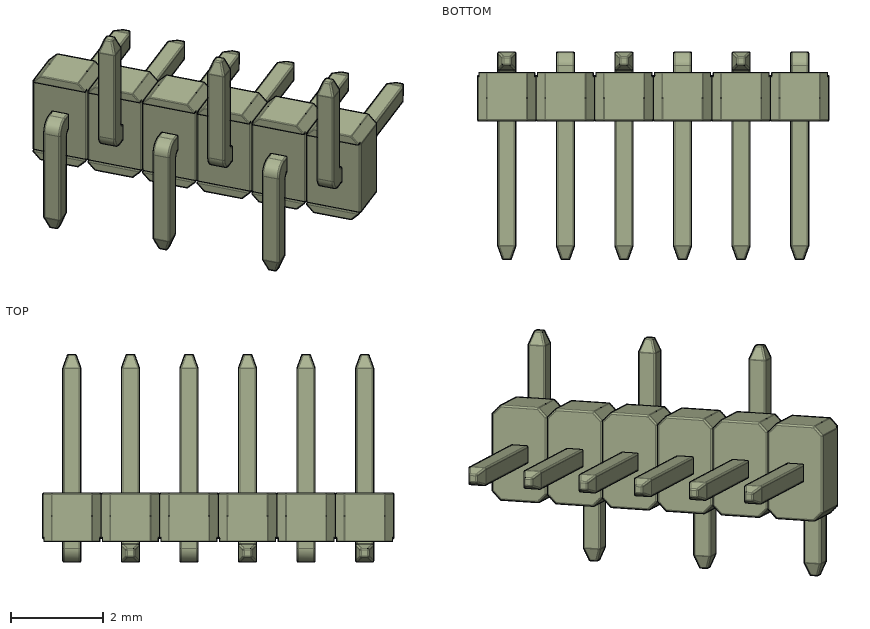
import cadquery as cq
MODULE_COUNT = 6
ROW_LENGTH = 7.62
PITCH = ROW_LENGTH / MODULE_COUNT

BLOCK_HEIGHT = 2.1
BLOCK_DEPTH = 1.0
BLOCK_EDGE_RADIUS = 0.04
CORNER_CUT = 0.2
CUT_EDGE_RADIUS = 0.02
LIP_PROJECTION = 0.06
LIP_EDGE_RADIUS = 0.019
LIP_ROOT_DEPTH = BLOCK_DEPTH / 2

PIN_WIDTH = 0.4
PIN_HALF = PIN_WIDTH / 2
PIN_EDGE_RADIUS = 0.04
REAR_REACH = 3.0
FRONT_REACH = 1.5
LEG_REACH = 2.5
BEND_OUTER_RADIUS = 0.3
BEND_INNER_RADIUS = 0.12
TIP_LENGTH = 0.3
TIP_WIDTH = 0.18


def make_lip():
    """Standoff lip that fills the space between the two upper corner cuts."""
    top = BLOCK_HEIGHT / 2
    bottom = top - CORNER_CUT
    half_width = PITCH / 2
    half_top_width = half_width - CORNER_CUT
    return (
        cq.Workplane("XZ", origin=(0, LIP_ROOT_DEPTH - BLOCK_DEPTH, 0))
        .polyline([
            (-half_width, bottom),
            (half_width, bottom),
            (half_top_width, top),
            (-half_top_width, top),
        ])
        .close()
        .extrude(LIP_ROOT_DEPTH + LIP_PROJECTION)
        .edges("|Y").fillet(LIP_EDGE_RADIUS)
        .faces("<Y").edges().fillet(LIP_EDGE_RADIUS)
    )


def make_block():
    """Eight-sided block with a lip above and below its recessed front face."""
    core = (
        cq.Workplane("XY")
        .box(PITCH, BLOCK_DEPTH, BLOCK_HEIGHT)
        .translate((0, -BLOCK_DEPTH / 2, 0))
        .edges("|Y").chamfer(CORNER_CUT)
        .edges("|Y").fillet(CUT_EDGE_RADIUS)
        .faces("<Y or >Y").edges().fillet(BLOCK_EDGE_RADIUS)
    )
    upper_lip = make_lip()
    lower_lip = upper_lip.mirror("XY")
    return core.union(upper_lip).union(lower_lip)


def make_tip():
    """Square tip that tapers upwards from the plane Z = 0."""
    return (
        cq.Workplane("XY")
        .rect(PIN_WIDTH, PIN_WIDTH)
        .workplane(offset=TIP_LENGTH)
        .rect(TIP_WIDTH, TIP_WIDTH)
        .loft(ruled=True)
    )


def make_bent_bar():
    """Square bar along Y whose front end turns down to -Z, without its tips."""
    rear_end = REAR_REACH - TIP_LENGTH
    leg_end = TIP_LENGTH - LEG_REACH
    leg_front = -FRONT_REACH
    leg_back = leg_front + PIN_WIDTH
    outer_corner = cq.selectors.NearestToPointSelector((0, leg_front, PIN_HALF))
    inner_corner = cq.selectors.NearestToPointSelector((0, leg_back, -PIN_HALF))
    return (
        cq.Workplane("YZ")
        .polyline([
            (rear_end, PIN_HALF),
            (leg_front, PIN_HALF),
            (leg_front, leg_end),
            (leg_back, leg_end),
            (leg_back, -PIN_HALF),
            (rear_end, -PIN_HALF),
        ])
        .close()
        .extrude(PIN_HALF, both=True)
        .edges(outer_corner).fillet(BEND_OUTER_RADIUS)
        .edges(inner_corner).fillet(BEND_INNER_RADIUS)
    )


def make_pin():
    """Bent pin with a tapered tip at both ends and all its edges rounded."""
    tip = make_tip()
    origin = (0, 0, 0)
    x_axis = (1, 0, 0)
    rear_tip = tip.rotate(origin, x_axis, -90).translate((0, REAR_REACH - TIP_LENGTH, 0))
    leg_centre = PIN_HALF - FRONT_REACH
    leg_tip = tip.rotate(origin, x_axis, 180).translate((0, leg_centre, TIP_LENGTH - LEG_REACH))
    return make_bent_bar().union(rear_tip).union(leg_tip).edges().fillet(PIN_EDGE_RADIUS)


def make_module(leg_points_up):
    """One block and its pin as a single solid, with the leg up or down."""
    pin = make_pin()
    if leg_points_up:
        pin = pin.mirror("XY")
    return make_block().union(pin)


modules = []
for index in range(MODULE_COUNT):
    module = make_module(leg_points_up=index % 2 == 1)
    centre_x = (index - (MODULE_COUNT - 1) / 2) * PITCH
    modules.extend(module.translate((centre_x, 0, 0)).solids().vals())

result = cq.Compound.makeCompound(modules)